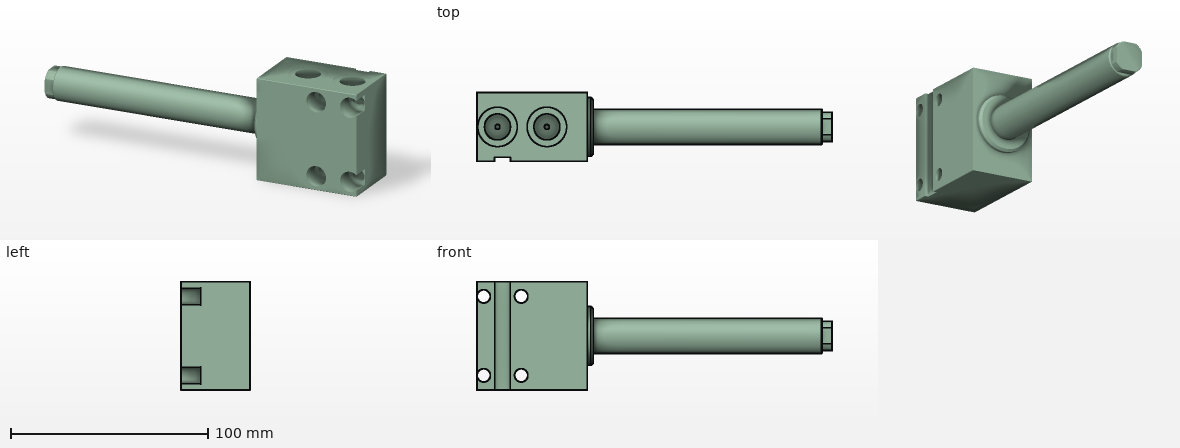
import cadquery as cq

TOTAL_LENGTH = 180.0

HOUSING_LENGTH = 56.0
HOUSING_DEPTH = 35.0
HOUSING_HEIGHT = 55.0
EDGE_BREAK = 0.2
FRONT_Y = -HOUSING_DEPTH / 2
BACK_Y = HOUSING_DEPTH / 2
TOP_Z = HOUSING_HEIGHT / 2

SLOT_START_X = 9.0
SLOT_WIDTH = 8.0
SLOT_DEPTH = 2.0

MOUNT_FIRST_X = 3.5
MOUNT_SPACING_X = 19.0
MOUNT_SPACING_Z = 40.0
MOUNT_DIAMETER = 6.6
COUNTERBORE_DIAMETER = 11.0
COUNTERBORE_DEPTH = 10.0

PORT_FIRST_X = 10.5
PORT_SPACING = 25.0
PORT_DIAMETER = 13.2
PORT_DEPTH = 12.0
SPOTFACE_DIAMETER = 20.0
SPOTFACE_DEPTH = 0.1
CHANNEL_DIAMETER = 2.5

GLAND_DIAMETER = 30.0
GLAND_LENGTH = 3.0
GLAND_CHAMFER = 1.2

ROD_DIAMETER = 18.0
ROD_CHAMFER = 0.5
ROD_START_X = 6.0
WRENCH_END_DIAMETER = ROD_DIAMETER - 2 * ROD_CHAMFER
WRENCH_END_LENGTH = 5.0
WRENCH_END_CHAMFER = 0.3
WRENCH_ACROSS_FLATS = 15.0
ROD_SHOULDER_X = TOTAL_LENGTH - WRENCH_END_LENGTH


def cylinder_along_x(diameter, start_x, length):
    """Cylinder on the rod axis, running in +X from start_x."""
    return cq.Workplane("YZ", origin=(start_x, 0, 0)).circle(diameter / 2).extrude(length)


def make_mounting_hole(x, z):
    """Cutter for one through hole along Y with its counterbore at the back."""
    back_plane = cq.Workplane("XZ", origin=(x, BACK_Y, z))
    hole = back_plane.circle(MOUNT_DIAMETER / 2).extrude(HOUSING_DEPTH)
    counterbore = back_plane.circle(COUNTERBORE_DIAMETER / 2).extrude(COUNTERBORE_DEPTH)
    return hole.union(counterbore)


def make_port(x):
    """Cutter for one port: shallow spotface, flat-bottomed bore and channel to the rod."""
    top_plane = cq.Workplane("XY", origin=(x, 0, TOP_Z))
    spotface = top_plane.circle(SPOTFACE_DIAMETER / 2).extrude(-SPOTFACE_DEPTH)
    bore = top_plane.circle(PORT_DIAMETER / 2).extrude(-PORT_DEPTH)
    channel = top_plane.circle(CHANNEL_DIAMETER / 2).extrude(-TOP_Z)
    return spotface.union(bore).union(channel)


def make_housing():
    """Block with a key slot, mounting holes, oil ports and a blind bore for the rod."""
    block = cq.Workplane("XY").box(
        HOUSING_LENGTH, HOUSING_DEPTH, HOUSING_HEIGHT, centered=(False, True, True)
    )
    block = block.edges("|X").chamfer(EDGE_BREAK)
    slot = (
        cq.Workplane("XY")
        .box(SLOT_WIDTH, SLOT_DEPTH, HOUSING_HEIGHT, centered=(False, False, True))
        .translate((SLOT_START_X, FRONT_Y, 0))
    )
    block = block.cut(slot)
    for column in range(2):
        for side in (-1, 1):
            hole_x = MOUNT_FIRST_X + column * MOUNT_SPACING_X
            hole_z = side * MOUNT_SPACING_Z / 2
            block = block.cut(make_mounting_hole(hole_x, hole_z))
    for index in range(2):
        block = block.cut(make_port(PORT_FIRST_X + index * PORT_SPACING))
    rod_bore = cylinder_along_x(ROD_DIAMETER, ROD_START_X, HOUSING_LENGTH - ROD_START_X)
    return block.cut(rod_bore)


def make_gland():
    """Ring with a chamfered outer rim, bored to fit the rod."""
    ring = cylinder_along_x(GLAND_DIAMETER, HOUSING_LENGTH, GLAND_LENGTH)
    ring = ring.faces(">X").edges().chamfer(GLAND_CHAMFER)
    return ring.cut(cylinder_along_x(ROD_DIAMETER, HOUSING_LENGTH, GLAND_LENGTH))


def make_rod():
    """Rod from its blind bore in the housing outward, with four wrench flats on its reduced end."""
    shaft = cylinder_along_x(ROD_DIAMETER, ROD_START_X, ROD_SHOULDER_X - ROD_START_X)
    shaft = shaft.faces(">X").edges().chamfer(ROD_CHAMFER)
    wrench_end = cylinder_along_x(WRENCH_END_DIAMETER, ROD_SHOULDER_X, WRENCH_END_LENGTH)
    wrench_end = wrench_end.faces(">X").edges().chamfer(WRENCH_END_CHAMFER)
    flats = (
        cq.Workplane("YZ", origin=(ROD_SHOULDER_X, 0, 0))
        .rect(WRENCH_ACROSS_FLATS, WRENCH_ACROSS_FLATS)
        .extrude(WRENCH_END_LENGTH)
    )
    return shaft.union(wrench_end.intersect(flats))


housing = make_housing()
gland = make_gland()
rod = make_rod()

result = cq.Compound.makeCompound([housing.val(), gland.val(), rod.val()])